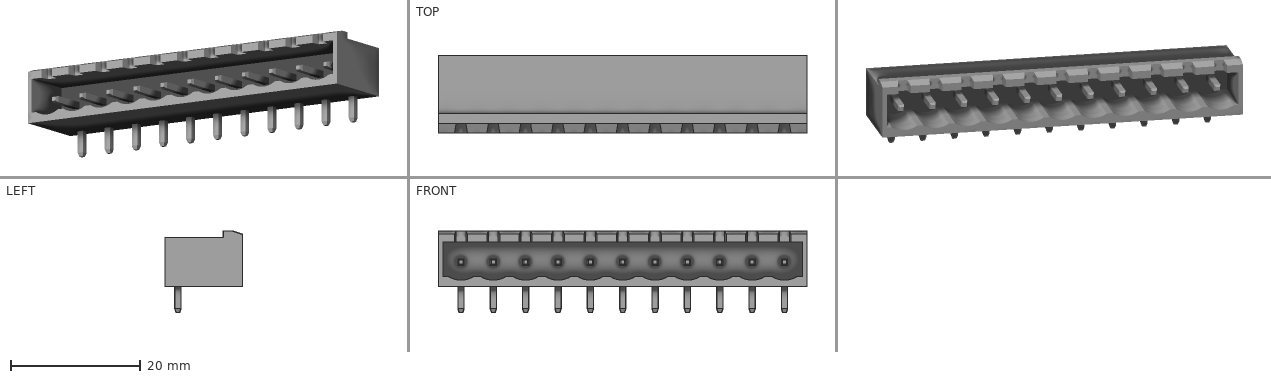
import cadquery as cq


pin_count = 11
pitch = 5.0
end_margin = 3.5
row_length = (pin_count - 1) * pitch
pin_positions = [index * pitch - row_length / 2 for index in range(pin_count)]

housing_length = row_length + 2 * end_margin
housing_depth = 12.0
housing_height = 7.6
lip_height = 1.0
lip_depth = 3.0
lip_bevel_depth = 1.5
lip_bevel_drop = 0.5
lip_top = housing_height + lip_height

end_wall = 0.7
cavity_depth = 8.5
cavity_roof = 6.9
floor_crest = 1.6
floor_trough = 1.0
trough_width = 4.0

notch_front_width = 2.0
notch_back_width = 1.5
notch_depth = lip_bevel_depth

pin_width = 1.0
contact_height = 3.8
contact_tip_y = 2.0
tail_y = 10.0
tail_length = 4.0
pin_tip_length = 0.6
pin_tip_inset = 0.2


def make_housing():
    """Side profile with the bevelled lip along the front top edge, extruded along the row."""
    return (
        cq.Workplane("YZ")
        .moveTo(0, 0)
        .lineTo(housing_depth, 0)
        .lineTo(housing_depth, housing_height)
        .lineTo(lip_depth, housing_height)
        .lineTo(lip_depth, lip_top)
        .lineTo(lip_bevel_depth, lip_top)
        .lineTo(0, lip_top - lip_bevel_drop)
        .close()
        .extrude(housing_length / 2, both=True)
    )


def make_cavity():
    """Front opening whose floor has one shallow round trough under each contact."""
    half_length = housing_length / 2 - end_wall
    outline = cq.Workplane("XZ").moveTo(-half_length, cavity_roof).lineTo(-half_length, floor_crest)
    for x in pin_positions:
        outline = outline.lineTo(x - trough_width / 2, floor_crest)
        outline = outline.threePointArc((x, floor_trough), (x + trough_width / 2, floor_crest))
    outline = outline.lineTo(half_length, floor_crest).lineTo(half_length, cavity_roof).close()
    return outline.extrude(-cavity_depth)


def make_notch(x):
    """Tapered slot through the front of the lip, from the cavity roof upwards."""
    return (
        cq.Workplane("XY", origin=(x, 0, cavity_roof))
        .moveTo(-notch_front_width / 2, 0)
        .lineTo(notch_front_width / 2, 0)
        .lineTo(notch_back_width / 2, notch_depth)
        .lineTo(-notch_back_width / 2, notch_depth)
        .close()
        .extrude(lip_top - cavity_roof)
    )


def make_leg(start, direction, length):
    """Square bar along direction, with a bevelled tip at its far end."""
    base = cq.Plane(origin=start, xDir=(1, 0, 0), normal=direction)
    bar = cq.Workplane(base).rect(pin_width, pin_width).extrude(length)
    far_end = cq.selectors.DirectionMinMaxSelector(cq.Vector(*direction))
    return bar.faces(far_end).chamfer(pin_tip_length, pin_tip_inset)


def make_pin(x):
    """Bent pin: a contact pointing forwards in the cavity and a solder tail pointing down."""
    half_width = pin_width / 2
    contact_start = (x, tail_y + half_width, contact_height)
    contact = make_leg(contact_start, (0, -1, 0), contact_start[1] - contact_tip_y)
    tail_start = (x, tail_y, contact_height + half_width)
    tail = make_leg(tail_start, (0, 0, -1), tail_start[2] + tail_length)
    return contact.union(tail)


result = make_housing().cut(make_cavity())
for pin_x in pin_positions:
    result = result.cut(make_notch(pin_x))
    result = result.union(make_pin(pin_x))